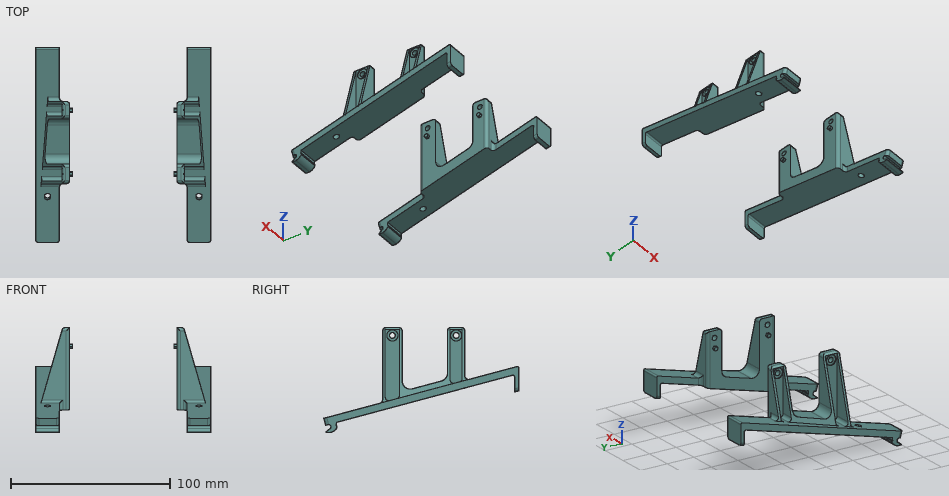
import cadquery as cq
import math


OVERALL_WIDTH = 110.0
OVERALL_LENGTH = 122.44
BAR_WIDTH = 15.0
BAR_THICKNESS = 4.65
BAR_TILT = 15.0
BAR_OUTER_X = OVERALL_WIDTH / 2
BAR_INNER_X = BAR_OUTER_X - BAR_WIDTH
BAR_MID_X = BAR_OUTER_X - BAR_WIDTH / 2
BAR_REAR_Y = OVERALL_LENGTH / 2
COS_TILT = math.cos(math.radians(BAR_TILT))
SIN_TILT = math.sin(math.radians(BAR_TILT))
BAR_LENGTH = OVERALL_LENGTH / COS_TILT
BAR_CORNER_RADIUS = 1.0
END_CORNER_RADIUS = 2.0
SCREW_HOLE_DIAMETER = 4.0
SCREW_HOLE_Y = -32.4

LEG_THICKNESS = 2.7
LEG_BOTTOM_Z = -15.7

UPRIGHT_TOP_Z = 24.15
UPRIGHT_INNER_X = 33.6
HOLE_SPACING = 40.0
REAR_HOLE_Y = 21.9
FRONT_HOLE_Y = REAR_HOLE_Y - HOLE_SPACING
REAR_UPRIGHT_WIDTH = 11.0
FRONT_UPRIGHT_WIDTH = 12.4
RIB_THICKNESS = 1.7
PLATE_THICKNESS = 4.7
PLATE_OUTER_X = UPRIGHT_INNER_X + PLATE_THICKNESS
PAD_HEIGHT = 3.5
SADDLE_RADIUS = 5.0
FOOT_RADIUS = 2.2
EDGE_RADIUS = 2.2
RIB_LEAN = 16.0
RIB_TOP_X = 38.0

OVERALL_HEIGHT = 65.99
HOOK_BOTTOM_Z = UPRIGHT_TOP_Z - OVERALL_HEIGHT
HOOK_FLAT_Y = -57.0
HOOK_TIP_Y = -59.9
HOOK_TIP_HEIGHT = 0.4

HOLE_DROP = 5.0
HOLE_DIAMETER = 3.5
COUNTERBORE_DIAMETER = 7.0
COUNTERBORE_DEPTH = 0.5
PEG_DROP = 11.8
PEG_DIAMETER = 3.0
PEG_LENGTH = 1.8

UPRIGHTS = [(REAR_HOLE_Y, REAR_UPRIGHT_WIDTH), (FRONT_HOLE_Y, FRONT_UPRIGHT_WIDTH)]
REAR_FACE_Y = REAR_HOLE_Y + REAR_UPRIGHT_WIDTH / 2
FRONT_FACE_Y = FRONT_HOLE_Y - FRONT_UPRIGHT_WIDTH / 2


def on_bar(along, height):
    """Y and Z of a point `along` the bar from its rear corner and `height` above its top face."""
    y = BAR_REAR_Y - along * COS_TILT - height * SIN_TILT
    z = -along * SIN_TILT + height * COS_TILT
    return y, z


def above_bar(y, height=0.0):
    """Point at `y` on the line parallel to the bar's top face and `height` above it."""
    return y, (height - (BAR_REAR_Y - y) * SIN_TILT) / COS_TILT


def extrude_x(sketch, start, end):
    return sketch.extrude(end - start).translate((start, 0, 0))


def make_bar():
    leg_inner_y = BAR_REAR_Y - LEG_THICKNESS
    outline = (
        cq.Workplane("YZ")
        .moveTo(BAR_REAR_Y, 0)
        .lineTo(*on_bar(BAR_LENGTH, 0))
        .lineTo(*on_bar(BAR_LENGTH, -BAR_THICKNESS))
        .lineTo(*above_bar(leg_inner_y, -BAR_THICKNESS))
        .lineTo(leg_inner_y, LEG_BOTTOM_Z - LEG_THICKNESS * SIN_TILT / COS_TILT)
        .lineTo(BAR_REAR_Y, LEG_BOTTOM_Z)
        .close()
    )
    bar = extrude_x(outline, BAR_INNER_X, BAR_OUTER_X)
    rear_corners = [(BAR_REAR_Y, 0), above_bar(leg_inner_y, -BAR_THICKNESS)]
    for y, z in rear_corners:
        edge = cq.selectors.NearestToPointSelector((BAR_MID_X, y, z))
        bar = bar.edges("|X").edges(edge).fillet(BAR_CORNER_RADIUS)
    nose_y, nose_z = on_bar(BAR_LENGTH, -BAR_THICKNESS / 2)
    leg_mid_y = BAR_REAR_Y - LEG_THICKNESS / 2
    for x in (BAR_INNER_X, BAR_OUTER_X):
        nose_edge = cq.selectors.NearestToPointSelector((x, nose_y, nose_z))
        bar = bar.edges(nose_edge).fillet(END_CORNER_RADIUS)
        leg_edge = cq.selectors.NearestToPointSelector((x, leg_mid_y, LEG_BOTTOM_Z))
        bar = bar.edges(leg_edge).fillet(END_CORNER_RADIUS)
    return bar


def make_hook():
    """Hook under the bar's front end, open toward the front."""

    def point(back, drop):
        """Point `back` from the bar's front end and `drop` below its underside."""
        return on_bar(BAR_LENGTH - back, -BAR_THICKNESS - drop)

    outline = (
        cq.Workplane("YZ")
        .moveTo(*point(7.2, -1))
        .lineTo(*point(7.2, 0))
        .lineTo(*point(6.4, 1.9))
        .lineTo(*point(6.8, 2.2))
        .lineTo(*point(6.5, 3.3))
        .threePointArc(point(4.6, 4.6), (HOOK_FLAT_Y, HOOK_BOTTOM_Z))
        .lineTo(HOOK_TIP_Y, HOOK_BOTTOM_Z)
        .lineTo(HOOK_TIP_Y, HOOK_BOTTOM_Z + HOOK_TIP_HEIGHT)
        .lineTo(*point(2.4, 2.5))
        .threePointArc(point(3.0, 1.1), point(2.0, 0))
        .lineTo(*point(2.0, -1))
        .close()
    )
    return extrude_x(outline, BAR_INNER_X, BAR_OUTER_X)


def make_upright_blank():
    """U-shaped wall with two towers, reaching from the inner face to the bar's outer side."""
    rear_inside_y = REAR_HOLE_Y - REAR_UPRIGHT_WIDTH / 2
    front_inside_y = FRONT_HOLE_Y + FRONT_UPRIGHT_WIDTH / 2
    outline = (
        cq.Workplane("YZ")
        .moveTo(*above_bar(REAR_FACE_Y, -BAR_THICKNESS))
        .lineTo(REAR_FACE_Y, UPRIGHT_TOP_Z)
        .lineTo(rear_inside_y, UPRIGHT_TOP_Z)
        .lineTo(*above_bar(rear_inside_y, PAD_HEIGHT))
        .lineTo(*above_bar(front_inside_y, PAD_HEIGHT))
        .lineTo(front_inside_y, UPRIGHT_TOP_Z)
        .lineTo(FRONT_FACE_Y, UPRIGHT_TOP_Z)
        .lineTo(*above_bar(FRONT_FACE_Y, -BAR_THICKNESS))
        .close()
    )
    blank = extrude_x(outline, UPRIGHT_INNER_X, BAR_OUTER_X)
    for y in (rear_inside_y, front_inside_y):
        corner = cq.selectors.NearestToPointSelector((BAR_MID_X, *above_bar(y, PAD_HEIGHT)))
        blank = blank.edges("|X").edges(corner).fillet(SADDLE_RADIUS)
    return blank


def make_lean_cutter():
    """Everything above the bar that lies outside the ribs' leaning outer plane."""
    drop = 60.0
    spread = drop * math.tan(math.radians(RIB_LEAN))
    clearance = 10.0
    top_z = UPRIGHT_TOP_Z + clearance
    top_x = RIB_TOP_X - clearance * math.tan(math.radians(RIB_LEAN))
    wedge = (
        cq.Workplane("XZ")
        .moveTo(top_x, top_z)
        .lineTo(top_x + spread, top_z - drop)
        .lineTo(OVERALL_WIDTH, top_z - drop)
        .lineTo(OVERALL_WIDTH, top_z)
        .close()
        .extrude(OVERALL_LENGTH / 2, both=True)
    )
    above = (
        cq.Workplane("YZ")
        .polyline([above_bar(BAR_REAR_Y), on_bar(BAR_LENGTH, 0), on_bar(BAR_LENGTH, 100), on_bar(0, 100)])
        .close()
        .extrude(OVERALL_WIDTH)
    )
    return wedge.intersect(above)


def make_pocket(center_y, width):
    """Space between the two ribs of one tower, open outward and rounded where it meets the bar."""
    half = width / 2 - RIB_THICKNESS
    outline = (
        cq.Workplane("YZ")
        .moveTo(center_y + half, UPRIGHT_TOP_Z)
        .lineTo(*above_bar(center_y + half))
        .lineTo(*above_bar(center_y - half))
        .lineTo(center_y - half, UPRIGHT_TOP_Z)
        .close()
    )
    pocket = extrude_x(outline, PLATE_OUTER_X, OVERALL_WIDTH)
    return pocket.edges("|X and (not >Z)").fillet(FOOT_RADIUS)


def fillet_joint(body):
    """Round the inside corners where the towers meet the bar's top and inner side."""
    for y in (REAR_FACE_Y, FRONT_FACE_Y):
        foot_y, foot_z = above_bar(y)
        foot = body.edges("|X").edges(cq.selectors.NearestToPointSelector((BAR_MID_X, foot_y, foot_z)))
        _, side_z = above_bar(y, -BAR_THICKNESS / 2)
        side = body.edges("|Z").edges(cq.selectors.NearestToPointSelector((BAR_INNER_X, y, side_z)))
        body = foot.add(side).fillet(FOOT_RADIUS)
    return body


def round_towers(body):
    """Round the towers' top edges, except the inner one, and the wall's two upright inner edges."""
    edges = body.faces(">Z").edges("|X")
    for y, _ in UPRIGHTS:
        rim = cq.selectors.NearestToPointSelector((OVERALL_WIDTH, y, UPRIGHT_TOP_Z))
        edges = edges.add(body.faces(">Z").edges("|Y").edges(rim))
    for y in (REAR_FACE_Y, FRONT_FACE_Y):
        corner = cq.selectors.NearestToPointSelector((UPRIGHT_INNER_X, y, 0))
        edges = edges.add(body.edges("|Z").edges(corner))
    return edges.fillet(EDGE_RADIUS)


def make_holes(center_y):
    """Through hole of one tower with the shallow counterbore on its outer side."""
    hole_z = UPRIGHT_TOP_Z - HOLE_DROP
    plane = cq.Workplane("YZ").center(center_y, hole_z)
    hole = extrude_x(plane.circle(HOLE_DIAMETER / 2), UPRIGHT_INNER_X, BAR_OUTER_X)
    bore = extrude_x(
        plane.circle(COUNTERBORE_DIAMETER / 2), PLATE_OUTER_X - COUNTERBORE_DEPTH, BAR_OUTER_X
    )
    return hole.union(bore)


def make_peg(center_y):
    """Hexagonal peg standing out of a tower's inner face."""
    peg = cq.Workplane("YZ").center(center_y, UPRIGHT_TOP_Z - PEG_DROP).polygon(6, PEG_DIAMETER)
    return extrude_x(peg, UPRIGHT_INNER_X - PEG_LENGTH, UPRIGHT_INNER_X)


def make_screw_hole():
    y, z = above_bar(SCREW_HOLE_Y)
    axis = cq.Plane(origin=(BAR_MID_X, y, z), xDir=(1, 0, 0), normal=(0, -SIN_TILT, COS_TILT))
    return cq.Workplane(axis).circle(SCREW_HOLE_DIAMETER / 2).extrude(2 * BAR_THICKNESS, both=True)


def make_bracket():
    body = make_bar().union(make_upright_blank())
    body = fillet_joint(body)
    body = body.cut(make_lean_cutter())
    body = round_towers(body)
    body = body.union(make_hook())
    for y, width in UPRIGHTS:
        body = body.cut(make_pocket(y, width)).cut(make_holes(y)).union(make_peg(y))
    return body.cut(make_screw_hole())


right_bracket = make_bracket()
left_bracket = right_bracket.mirror("YZ")

result = cq.Compound.makeCompound([left_bracket.val(), right_bracket.val()])